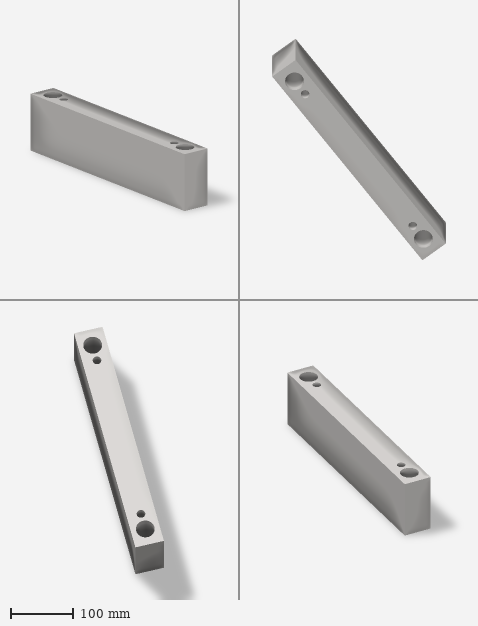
import cadquery as cq

length = 396.0
width = 47.0
height = 96.0

large_hole_diameter = 30.0
large_hole_spacing = 339.8
small_hole_diameter = 14.0
small_hole_spacing = 284.0


def drill_pair(body, diameter, spacing):
    """Drill two holes through the full height, mirrored about the middle."""
    centres = [(-spacing / 2, 0), (spacing / 2, 0)]
    return body.faces(">Z").workplane(origin=(0, 0, 0)).pushPoints(centres).hole(diameter)


block = cq.Workplane("XY").box(length, width, height)
block = drill_pair(block, large_hole_diameter, large_hole_spacing)
result = drill_pair(block, small_hole_diameter, small_hole_spacing)